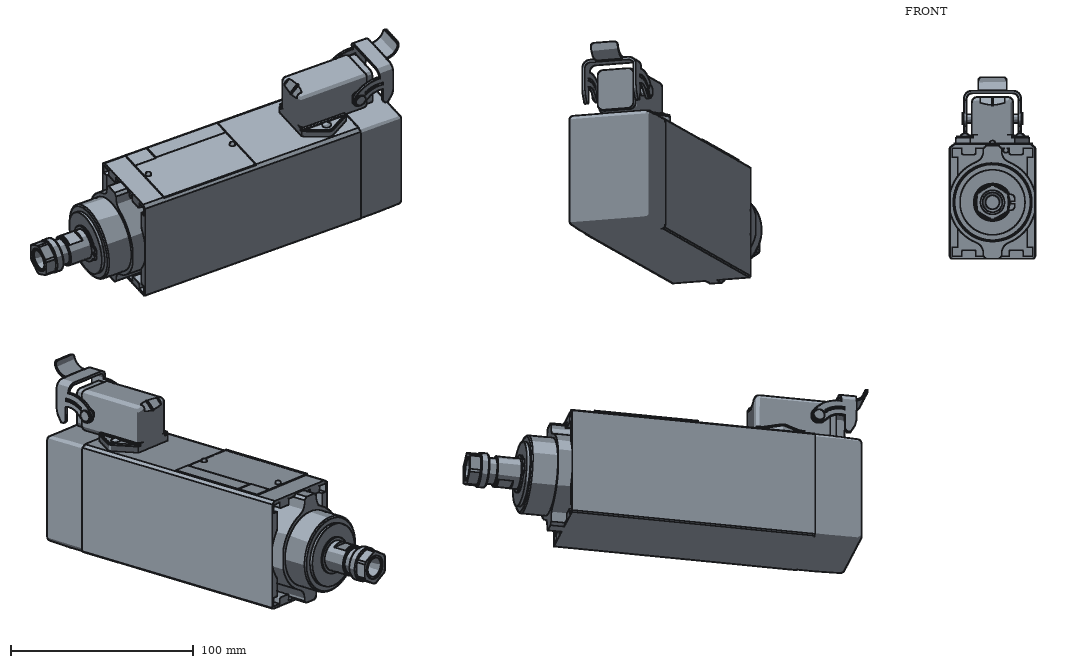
import cadquery as cq
import math


HOUSING_WIDTH = 46.4
HOUSING_TOP = 31.7
HOUSING_BOTTOM = -31.0
HOUSING_LENGTH = 136.1
TOP_BEVEL_X = 2.2
TOP_BEVEL_Z = 1.5
BOTTOM_BEVEL = 0.8

CHANNEL_HALF_WIDTH = 22.0
CHANNEL_HALF_HEIGHT = 29.6
RIB_INNER_X = 9.1
RIB_OUTER_X = 16.8
RIB_DEPTH = 3.5
RIB_ROUND = 1.0
EARTH_BOSS_X = 7.3
EARTH_BOSS_Z = 28.5
EARTH_BOSS_RADIUS = 1.4
SIDE_RIB_X = 19.0
SIDE_RIB_HALF_HEIGHT = 24.7

COVER_WIDTH = 47.5
COVER_HALF_HEIGHT = 31.0
COVER_BAND_END = 146.2
COVER_END = 162.8
COVER_TAPER = 1.7
COVER_EDGE_RADIUS = 2.7
COVER_REAR_RADIUS = 2.6

FLANGE_RADIUS = 23.75
FLANGE_HALF_WIDTH = 23.0
FLANGE_THICKNESS = 7.75
TAB_HALF_WIDTH = 5.0
TAB_HALF_HEIGHT = 31.0
TAB_CHAMFER = 1.6
TAB_FILLET = 6.4

NOSE_RADIUS = 21.5
NOSE_END = -22.4
NOSE_CHAMFER = 0.8
SEAL_RADIUS = 17.8
SEAL_END = -24.2
CLIP_RADIUS = 10.3
CLIP_END = -25.2
CLIP_EAR_REACH = 12.1
CLIP_EAR_LENGTH = 4.0
CLIP_EAR_HALF_HEIGHT = 4.3
CLIP_GAP_DEPTH = 2.2
CLIP_GAP = 1.4
SHAFT_RADIUS = 8.5
SHAFT_END = -38.5
SHAFT_CHAMFER = 0.4
FLAT_HALF_DISTANCE = 7.0
FLAT_START = -28.8
FLAT_END = -37.0
NECK_RADIUS = 7.2
NECK_END = -43.0
COLLAR_RADIUS = 9.5
COLLAR_END = -48.0
COLLAR_CHAMFER = 0.7
NUT_ACROSS_FLATS = 17.0
NUT_CORNER_RADIUS = 9.4
NUT_END = -53.95
BORE_RECESS_RADIUS = 13.18 / 2
BORE_RECESS_DEPTH = 0.5
BORE_MOUTH_RADIUS = 5.4
BORE_BOTTOM_RADIUS = 3.8
BORE_DEPTH = 8.0

PLATE_LEFT = -20.9
PLATE_RIGHT = 21.8
PLATE_FRONT = 13.0
PLATE_REAR = 71.0
PLATE_THICKNESS = 0.5
LABEL_RIGHT = -10.4
LABEL_THICKNESS = 0.1
LABEL_SPLIT = 26.5
LABEL_GAP = 0.4
LOGO_RIGHT = -11.0
RIVET_RADIUS = 1.6
RIVET_HEIGHT = 1.6
RIVET_END_DISTANCE = 2.5

BASE_FRONT = 105.2
BASE_REAR = 133.3
BASE_TIP_X = 20.6
BASE_END_HALF_WIDTH = 12.3
BASE_TIP_RADIUS = 3.0
BASE_TOP = 35.2
RIM_TOP = 36.2
RIM_INSET = 0.5
NECK_HALF_WIDTH = 10.5
SKIRT_HALF_WIDTH = 12.9
SKIRT_MARGIN = 0.6
SKIRT_TOP = 36.7
SCREW_X = 15.1
SCREW_RADIUS = 2.5
SCREW_HEIGHT = 1.5

HOOD_HALF_WIDTH = 11.35
HOOD_REAR = 148.2
HOOD_BOTTOM = 33.8
HOOD_TOP = 57.6
HOOD_RADIUS = 3.0
STUB_HALF_WIDTH = 10.4
STUB_REAR = 151.0
STUB_BOTTOM = 34.8
STUB_TOP = 57.0
GRIP_HALF_WIDTH = 6.8
GRIP_RADIUS = 29.0
GRIP_SETBACK = 4.3
NOTCH_WIDTH = 1.0
NOTCH_DEPTH = 0.4

LEVER_HALF_WIDTH = 15.7
LEVER_THICKNESS = 1.6
LEVER_TOP = 61.1
LEVER_BEND_RADIUS = 4.6
LEVER_REAR = 161.1
LEVER_TOP_FRONT = 152.1
HOOK_BOTTOM = 37.6
BRIDGE_UNDERSIDE = (152.9, 55.7)
ARM_TOP_MID = (142.8, 53.6)
ARM_BOTTOM_START = (146.5, 46.1)
ARM_BOTTOM_MID = (150.0, 47.6)
HOOK_THROAT = (154.6, 47.4)
HOOK_INNER_CORNER = (154.8, 38.8)
HOOK_TIP_FRONT_Y = 156.0
HOOK_TIP_REAR_Y = 157.8
HOOK_BACK_MID = (160.4, 42.0)
HOOK_BACK_TOP_Z = 45.0
PIVOT_Y = 140.0
PIVOT_Z = 45.8
PIVOT_EYE_RADIUS = 4.1
PIN_RADIUS = 4.92 / 2
PIN_HEAD_RADIUS = 3.1
PIN_HEAD_INNER_X = 15.3
PIN_HEAD_OUTER_X = 16.6
EYE_START_ANGLE = math.radians(143)
EYE_MID_ANGLE = math.radians(233)
EYE_END_ANGLE = math.radians(307)
SLOT_HALF_WIDTH = 0.7
SLOT_REAR = (154.5, 51.5)
SLOT_MID = (149.0, 51.2)
SLOT_FRONT = (143.6, 48.7)
LIP_HALF_WIDTH = 7.8
LIP_END_Z = 68.49
LIP_REAR = 169.26
LIP_THICKNESS = 1.0
LIP_CORNER_RADIUS = 2.0


def box(x0, x1, y0, y1, z0, z1):
    """Block between opposite corners."""
    return cq.Workplane("XY").box(x1 - x0, y1 - y0, z1 - z0, centered=False).translate((x0, y0, z0))


def along_y(outline, y0, y1):
    """Extrude an outline drawn on a (X, Z) sketch plane from y0 to y1."""
    return outline.extrude(y0 - y1).translate((0, y0, 0))


def disc(radius, y0, y1):
    """Cylinder about the spindle axis."""
    return along_y(cq.Workplane("XZ").circle(radius), y0, y1)


def cross_pin(radius, half_length):
    """Cylinder along X through the lever pivot, centred on X = 0."""
    pin = cq.Workplane("YZ").center(PIVOT_Y, PIVOT_Z).circle(radius)
    return pin.extrude(half_length, both=True)


def dome(radius, height, x, y, z):
    """Spherical cap standing on level z."""
    cap_radius = (radius**2 + height**2) / (2 * height)
    half_angle = math.asin(radius / cap_radius) / 2
    mid = (cap_radius * math.sin(half_angle), height - cap_radius * (1 - math.cos(half_angle)))
    section = cq.Workplane("XZ").lineTo(radius, 0).threePointArc(mid, (0, height)).close()
    return section.revolve(360, (0, 0), (0, 1)).translate((x, y, z))


def flange_body(y0, y1):
    """Round flange, flattened at the sides, with a filleted tab above and below."""
    round_part = disc(FLANGE_RADIUS, y0, y1)
    tabs = along_y(
        cq.Workplane("XZ").rect(2 * TAB_HALF_WIDTH, 2 * TAB_HALF_HEIGHT), y0, y1
    ).edges("|Y").chamfer(TAB_CHAMFER)
    body = round_part.union(tabs)
    joint_z = math.sqrt(FLANGE_RADIUS**2 - TAB_HALF_WIDTH**2)
    for x in (-TAB_HALF_WIDTH, TAB_HALF_WIDTH):
        for z in (-joint_z, joint_z):
            joint = cq.selectors.NearestToPointSelector((x, (y0 + y1) / 2, z))
            body = body.edges(joint).fillet(TAB_FILLET)
    return body.intersect(
        box(-FLANGE_HALF_WIDTH, FLANGE_HALF_WIDTH, y0, y1, -TAB_HALF_HEIGHT, TAB_HALF_HEIGHT)
    )


def housing():
    half = HOUSING_WIDTH / 2
    outline = cq.Workplane("XZ").polyline([
        (-half, HOUSING_BOTTOM + BOTTOM_BEVEL),
        (-half + BOTTOM_BEVEL, HOUSING_BOTTOM),
        (half - BOTTOM_BEVEL, HOUSING_BOTTOM),
        (half, HOUSING_BOTTOM + BOTTOM_BEVEL),
        (half, HOUSING_TOP - TOP_BEVEL_Z),
        (half - TOP_BEVEL_X, HOUSING_TOP),
        (-half + TOP_BEVEL_X, HOUSING_TOP),
        (-half, HOUSING_TOP - TOP_BEVEL_Z),
    ]).close()
    return along_y(outline, 0, HOUSING_LENGTH)


def channels():
    """Four corner channels: the housing interior less the ribs, earth boss and central core."""
    space = box(
        -CHANNEL_HALF_WIDTH, CHANNEL_HALF_WIDTH, 0, HOUSING_LENGTH,
        -CHANNEL_HALF_HEIGHT, CHANNEL_HALF_HEIGHT,
    )
    side_rib = box(
        SIDE_RIB_X, CHANNEL_HALF_WIDTH, 0, HOUSING_LENGTH,
        -SIDE_RIB_HALF_HEIGHT, SIDE_RIB_HALF_HEIGHT,
    )
    space = space.cut(side_rib).cut(side_rib.mirror("YZ"))
    rib_x = (RIB_OUTER_X + RIB_INNER_X) / 2
    for x in (-rib_x, rib_x):
        for z in (-CHANNEL_HALF_HEIGHT, CHANNEL_HALF_HEIGHT):
            rib = cq.Workplane("XZ").center(x, z).rect(RIB_OUTER_X - RIB_INNER_X, 2 * RIB_DEPTH)
            space = space.cut(along_y(rib, 0, HOUSING_LENGTH).edges("|Y").fillet(RIB_ROUND))
    earth_boss = cq.Workplane("XZ").center(EARTH_BOSS_X, EARTH_BOSS_Z).circle(EARTH_BOSS_RADIUS)
    space = space.cut(along_y(earth_boss, 0, HOUSING_LENGTH))
    return space.cut(flange_body(0, HOUSING_LENGTH))


def rear_cover():
    outline = cq.Workplane("XZ").rect(COVER_WIDTH, 2 * COVER_HALF_HEIGHT)
    band = along_y(outline, HOUSING_LENGTH, COVER_BAND_END).edges("|Y").fillet(COVER_EDGE_RADIUS)
    cap = band.faces(">Y").wires().toPending().workplane().extrude(
        COVER_END - COVER_BAND_END, combine=False, taper=COVER_TAPER
    )
    return band.union(cap.faces(">Y").edges().fillet(COVER_REAR_RADIUS))


def retaining_ring():
    """Ring in front of the seal, with two rounded ears at +X."""
    ears = box(
        CLIP_EAR_REACH - CLIP_EAR_LENGTH, CLIP_EAR_REACH, CLIP_END, SEAL_END,
        -CLIP_EAR_HALF_HEIGHT, CLIP_EAR_HALF_HEIGHT,
    ).edges("|Y and >X").fillet(CLIP_EAR_LENGTH / 2)
    gap = box(
        CLIP_EAR_REACH - CLIP_GAP_DEPTH, CLIP_EAR_REACH, CLIP_END, SEAL_END,
        -CLIP_GAP / 2, CLIP_GAP / 2,
    )
    return disc(CLIP_RADIUS, CLIP_END, SEAL_END).union(ears).cut(gap)


def shaft():
    """Shaft with two wrench flats, followed by the thinner neck."""
    body = disc(SHAFT_RADIUS, SHAFT_END, SEAL_END).faces("<Y").chamfer(SHAFT_CHAMFER)
    for z0, z1 in ((FLAT_HALF_DISTANCE, SHAFT_RADIUS), (-SHAFT_RADIUS, -FLAT_HALF_DISTANCE)):
        body = body.cut(box(-SHAFT_RADIUS, SHAFT_RADIUS, FLAT_END, FLAT_START, z0, z1))
    return body.union(disc(NECK_RADIUS, NECK_END, SHAFT_END))


def collet_nut():
    """Collar and hexagon with corners at top and bottom, open toward the front."""
    collar = disc(COLLAR_RADIUS, COLLAR_END, NECK_END).faces("<Y or >Y").chamfer(COLLAR_CHAMFER)
    across_corners = NUT_ACROSS_FLATS / math.cos(math.pi / 6)
    hexagon = along_y(cq.Workplane("XZ").polygon(6, across_corners), NUT_END, COLLAR_END)
    hexagon = hexagon.rotate((0, 0, 0), (0, 1, 0), 90)
    hexagon = hexagon.intersect(disc(NUT_CORNER_RADIUS, NUT_END, COLLAR_END))
    recess_floor = NUT_END + BORE_RECESS_DEPTH
    bore = cq.Workplane("XY").polyline([
        (0, NUT_END),
        (BORE_RECESS_RADIUS, NUT_END),
        (BORE_RECESS_RADIUS, recess_floor),
        (BORE_MOUTH_RADIUS, recess_floor),
        (BORE_BOTTOM_RADIUS, NUT_END + BORE_DEPTH),
        (0, NUT_END + BORE_DEPTH),
    ]).close().revolve(360, (0, 0), (0, 1))
    return collar.union(hexagon).cut(bore)


def spindle():
    flange = flange_body(-FLANGE_THICKNESS, 0)
    nose = disc(NOSE_RADIUS, NOSE_END, -FLANGE_THICKNESS).faces("<Y").chamfer(NOSE_CHAMFER)
    seal = disc(SEAL_RADIUS, SEAL_END, NOSE_END)
    body = flange.union(nose).union(seal)
    return body.union(retaining_ring()).union(shaft()).union(collet_nut())


def name_plate():
    plate_top = HOUSING_TOP + PLATE_THICKNESS
    label_top = plate_top + LABEL_THICKNESS
    plate = box(PLATE_LEFT, PLATE_RIGHT, PLATE_FRONT, PLATE_REAR, HOUSING_TOP, plate_top)
    spans = (
        (PLATE_FRONT, LABEL_SPLIT - LABEL_GAP, LABEL_RIGHT),
        (LABEL_SPLIT, PLATE_REAR, LOGO_RIGHT),
    )
    for y0, y1, right in spans:
        plate = plate.union(box(PLATE_LEFT, right, y0, y1, plate_top, label_top))
    for y in (PLATE_FRONT + RIVET_END_DISTANCE, PLATE_REAR - RIVET_END_DISTANCE):
        plate = plate.union(dome(RIVET_RADIUS, RIVET_HEIGHT, 0, y, plate_top))
    return plate


def connector_base():
    """Diamond-shaped foot with an inset rim and two screws."""
    mid_y = (BASE_FRONT + BASE_REAR) / 2
    foot = cq.Workplane("XY", origin=(0, 0, HOUSING_TOP)).polyline([
        (-BASE_END_HALF_WIDTH, BASE_FRONT),
        (BASE_END_HALF_WIDTH, BASE_FRONT),
        (BASE_TIP_X, mid_y),
        (BASE_END_HALF_WIDTH, BASE_REAR),
        (-BASE_END_HALF_WIDTH, BASE_REAR),
        (-BASE_TIP_X, mid_y),
    ]).close().extrude(BASE_TOP - HOUSING_TOP)
    foot = foot.edges("|Z and (<X or >X)").fillet(BASE_TIP_RADIUS)
    foot = foot.faces(">Z").wires().toPending().offset2D(-RIM_INSET).extrude(RIM_TOP - BASE_TOP)
    for x in (-SCREW_X, SCREW_X):
        foot = foot.union(dome(SCREW_RADIUS, SCREW_HEIGHT, x, mid_y, RIM_TOP))
    return foot


def hood_grip():
    """Shallow curved bevel on the upper front edge of the hood, with a narrow notch in its middle."""
    depth = GRIP_SETBACK * math.sqrt(0.5)
    length = 4 * GRIP_SETBACK
    bevel = cq.Workplane("XZ").center(0, GRIP_RADIUS - depth).circle(GRIP_RADIUS)
    bevel = bevel.extrude(length / 2, both=True)
    limits = box(-GRIP_HALF_WIDTH, GRIP_HALF_WIDTH, -length / 2, length / 2, -depth, depth)
    notch = box(
        -NOTCH_WIDTH / 2, NOTCH_WIDTH / 2, -length / 2, length / 2,
        -depth - NOTCH_DEPTH, depth,
    )
    cutter = bevel.intersect(limits).union(notch)
    return cutter.rotate((0, 0, 0), (1, 0, 0), 45).translate((0, BASE_FRONT, HOOD_TOP))


def connector_hood():
    hood = box(-HOOD_HALF_WIDTH, HOOD_HALF_WIDTH, BASE_FRONT, HOOD_REAR, HOOD_BOTTOM, HOOD_TOP)
    hood = hood.edges().fillet(HOOD_RADIUS)
    hood = hood.cut(hood_grip())
    stub = box(-STUB_HALF_WIDTH, STUB_HALF_WIDTH, BASE_REAR, STUB_REAR, STUB_BOTTOM, STUB_TOP)
    stub = stub.edges("|Y").fillet(HOOD_RADIUS)
    neck_top = HOOD_BOTTOM + HOOD_RADIUS
    neck = box(-NECK_HALF_WIDTH, NECK_HALF_WIDTH, BASE_FRONT, BASE_REAR, HOUSING_TOP, neck_top)
    skirt = box(
        -SKIRT_HALF_WIDTH, SKIRT_HALF_WIDTH, BASE_FRONT + SKIRT_MARGIN, BASE_REAR - SKIRT_MARGIN,
        RIM_TOP, SKIRT_TOP,
    )
    return hood.union(stub).union(neck).union(skirt)


def eye_point(angle):
    """Point on the pivot eye, with the angle measured from +Y toward +Z."""
    return (PIVOT_Y + PIVOT_EYE_RADIUS * math.cos(angle), PIVOT_Z + PIVOT_EYE_RADIUS * math.sin(angle))


def lever_side_outline():
    """Side outline of the lever: top bridge, hook at the rear, curved arm to the pivot eye."""
    return (
        cq.Workplane("YZ")
        .moveTo(LEVER_REAR, LEVER_TOP)
        .lineTo(LEVER_TOP_FRONT, LEVER_TOP)
        .lineTo(*BRIDGE_UNDERSIDE)
        .threePointArc(ARM_TOP_MID, eye_point(EYE_START_ANGLE))
        .threePointArc(eye_point(EYE_MID_ANGLE), eye_point(EYE_END_ANGLE))
        .lineTo(*ARM_BOTTOM_START)
        .threePointArc(ARM_BOTTOM_MID, HOOK_THROAT)
        .lineTo(*HOOK_INNER_CORNER)
        .lineTo(HOOK_TIP_FRONT_Y, HOOK_BOTTOM)
        .lineTo(HOOK_TIP_REAR_Y, HOOK_BOTTOM)
        .lineTo(*HOOK_BACK_MID)
        .lineTo(LEVER_REAR, HOOK_BACK_TOP_Z)
        .close()
    )


def lever_slot():
    """Curved slot along both arms."""
    upper = [(y, z + SLOT_HALF_WIDTH) for y, z in (SLOT_REAR, SLOT_MID, SLOT_FRONT)]
    lower = [(y, z - SLOT_HALF_WIDTH) for y, z in (SLOT_FRONT, SLOT_MID, SLOT_REAR)]
    slot = cq.Workplane("YZ").moveTo(*upper[0]).threePointArc(*upper[1:])
    slot = slot.lineTo(*lower[0]).threePointArc(*lower[1:]).close()
    return slot.extrude(LEVER_HALF_WIDTH, both=True)


def lever_lip():
    """Thumb lip curling up and back from the bridge, with rounded end corners."""
    outer = LIP_REAR - LEVER_REAR
    inner = outer - LIP_THICKNESS
    diagonal = math.sqrt(0.5)
    lip = (
        cq.Workplane("YZ")
        .moveTo(LIP_REAR, LIP_END_Z)
        .threePointArc(
            (LEVER_REAR + outer * diagonal, LIP_END_Z - outer * diagonal),
            (LEVER_REAR, LIP_END_Z - outer),
        )
        .lineTo(LEVER_REAR, LIP_END_Z - inner)
        .threePointArc(
            (LEVER_REAR + inner * diagonal, LIP_END_Z - inner * diagonal),
            (LEVER_REAR + inner, LIP_END_Z),
        )
        .close()
        .extrude(LIP_HALF_WIDTH, both=True)
    )
    root = LEVER_TOP - LEVER_THICKNESS
    shape = box(-LIP_HALF_WIDTH, LIP_HALF_WIDTH, LEVER_REAR, LIP_REAR, root, LIP_END_Z)
    return lip.intersect(shape.edges("|Y and >Z").fillet(LIP_CORNER_RADIUS))


def locking_lever():
    outer = box(-LEVER_HALF_WIDTH, LEVER_HALF_WIDTH, BASE_REAR, LEVER_REAR, HOOK_BOTTOM, LEVER_TOP)
    outer = outer.edges("|Y and >Z").fillet(LEVER_BEND_RADIUS)
    inside = LEVER_HALF_WIDTH - LEVER_THICKNESS
    inner = box(-inside, inside, BASE_REAR, LEVER_REAR, HOOK_BOTTOM, LEVER_TOP - LEVER_THICKNESS)
    inner = inner.edges("|Y and >Z").fillet(LEVER_BEND_RADIUS - LEVER_THICKNESS)
    bent_sheet = outer.cut(inner)
    lever = lever_side_outline().extrude(LEVER_HALF_WIDTH, both=True).intersect(bent_sheet)
    heads = cross_pin(PIN_HEAD_RADIUS, PIN_HEAD_OUTER_X).cut(cross_pin(PIN_HEAD_RADIUS, PIN_HEAD_INNER_X))
    pin = cross_pin(PIN_RADIUS, PIN_HEAD_OUTER_X)
    return lever.cut(lever_slot()).union(lever_lip()).union(pin).union(heads)


motor = housing().cut(channels()).union(rear_cover()).union(spindle()).union(name_plate())
result = motor.union(connector_base()).union(connector_hood()).union(locking_lever())